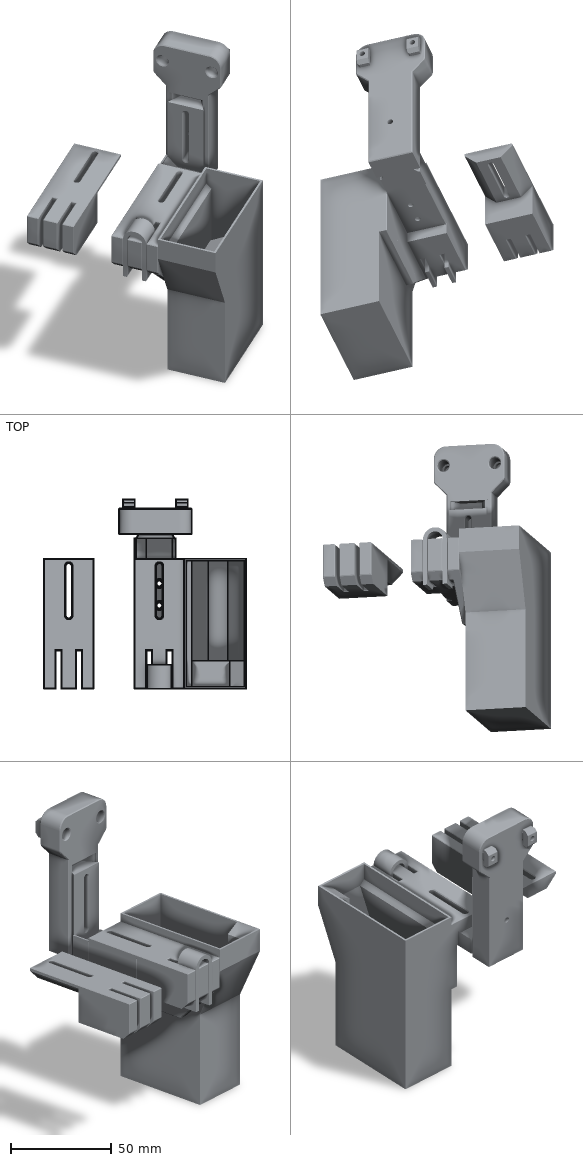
import cadquery as cq
import math

EDGE = 0.5
FORK_EDGE = 0.3

HOPPER_WIDTH = 30.9
DEPTH = 65.0
HOPPER_HEIGHT = 90.0
WALL = 1.0
RIM_BOTTOM = 78.0
NECK_TOP = 50.0
NECK_FRONT = 13.0
BASIN_FRONT = NECK_FRONT + WALL
LEDGE_INNER_X = 22.6
LEDGE_ANGLE = 30.0
LIP_RUN = 2.7
FLOOR_LEFT_X = 12.0
FLOOR_RIGHT_X = 21.6

FORK_WIDTH = 24.9
FORK_TOP = 85.6
FORK_PLATE = 1.8
FORK_BLOCK_DEPTH = 33.3
FORK_BOTTOM = 65.1
FORK_CHAMFER = 4.0
TONGUE_HEIGHT = 6.0
COMB_SLOT = 2.5
COMB_OFFSET = 5.1
COMB_DEPTH = 19.0
SLOT_WIDTH = 3.0
FORK_SLOT_START = 35.1
FORK_SLOT_END = 62.7
SPARE_FORK_X = -70.0
FORK_UNDERSIDE = FORK_TOP - FORK_PLATE
GROOVE_FLOOR = FORK_UNDERSIDE - TONGUE_HEIGHT

CLIP_RADIUS = 6.2
CLIP_THICKNESS = 2.1
CLIP_DEPTH = 12.0
CLIP_TOP = 91.4
CLIP_BOTTOM = 62.2

SIDE_PLATE = 4.2
SIDE_PLATE_BOTTOM = 46.4
SIDE_PLATE_CORNER_Y = 22.6
PILOT_DIAMETER = 1.0
PILOT_Y = (22.6, 48.5)
PILOT_Z = 53.5
BED_HOLE_DIAMETER = 2.8
COUNTERSINK_DIAMETER = 4.6
BED_HOLE_Y = (41.5, 52.5)

POST_X = -14.4
ARM_BOTTOM = 71.1
ARM_LIP = 0.9
ARM_FRONT = 75.0
ARM_TOP = 116.8
DOVETAIL_ANGLE = 60.0
DOVETAIL_HALF_WIDTH = 9.6
DOVETAIL_DEPTH = 7.4
ARM_SLOT_START = 81.9
ARM_SLOT_END = 113.4

POST_FRONT = 77.0
POST_BACK = 90.0
POST_HALF_WIDTH = 11.5
POST_TOP = 150.0
HEAD_HALF_WIDTH = 18.2
HEAD_SHOULDER = 125.1
HEAD_CORNER_RADIUS = 6.3
SHOULDER_RADIUS = 2.2
GROOVE_TOP = 121.5
STEM_HOLE_DIAMETER = 3.0
STEM_HOLE_Z = 94.5
BOLT_OFFSET = 13.2
BOLT_Z = 140.1
BOLT_HOLE_DIAMETER = 4.2
BOLT_HEAD_DIAMETER = 6.0
BOLT_SEAT = 3.0

NUT_Z = 139.8
NUT_NECK = 0.8
NUT_WIDTH = 6.0
NUT_NECK_RADIUS = 2.2
NUT_HEAD_RADIUS = 0.9
NUT_HALF_LENGTH = 5.1
NUT_BACK_HALF_LENGTH = 3.2
NUT_SHOULDER = 2.0
NUT_TIP = 94.5
NUT_THREAD_DIAMETER = 2.8


def profile_x(points, x_start, length):
    """Prism along +X from (y, z) points."""
    return cq.Workplane("YZ", origin=(x_start, 0, 0)).polyline(points).close().extrude(length)


def profile_y(points, y_start, y_end):
    """Prism along +Y from (x, z) points."""
    return cq.Workplane("XZ", origin=(0, y_start, 0)).polyline(points).close().extrude(y_start - y_end)


def profile_z(points, z_start, z_end):
    """Prism along +Z from (x, y) points."""
    return cq.Workplane("XY", origin=(0, 0, z_start)).polyline(points).close().extrude(z_end - z_start)


def block(x_range, y_range, z_range):
    """Box between three pairs of limits."""
    size = [high - low for low, high in (x_range, y_range, z_range)]
    corner = (x_range[0], y_range[0], z_range[0])
    return cq.Workplane("XY").box(*size, centered=False).translate(corner)


def make_hopper():
    outline = [
        (DEPTH, 0),
        (NECK_FRONT, 0),
        (NECK_FRONT, NECK_TOP),
        (0, RIM_BOTTOM),
        (0, HOPPER_HEIGHT),
        (DEPTH, HOPPER_HEIGHT),
    ]
    body = profile_x(outline, 0, HOPPER_WIDTH)

    left = WALL
    right = HOPPER_WIDTH - WALL
    lip_x = left + LIP_RUN
    lip = [(lip_x, RIM_BOTTOM), (left, RIM_BOTTOM + LIP_RUN), (left, HOPPER_HEIGHT)]
    basin = [
        (right, HOPPER_HEIGHT),
        (right, WALL + right - FLOOR_RIGHT_X),
        (FLOOR_RIGHT_X, WALL),
        (FLOOR_LEFT_X, WALL),
        (lip_x, WALL + FLOOR_LEFT_X - lip_x),
    ]
    body = body.cut(profile_y(lip + basin, BASIN_FRONT, DEPTH - WALL))

    chute = [
        (WALL, HOPPER_HEIGHT),
        (WALL, RIM_BOTTOM),
        (BASIN_FRONT, NECK_TOP),
        (BASIN_FRONT, HOPPER_HEIGHT),
    ]
    body = body.cut(profile_x(chute, lip_x, LEDGE_INNER_X - lip_x))
    body = body.cut(profile_y(lip + [(lip_x, HOPPER_HEIGHT)], WALL, BASIN_FRONT))
    ledge_drop = (right - LEDGE_INNER_X) * math.tan(math.radians(LEDGE_ANGLE))
    ledge = [
        (LEDGE_INNER_X, HOPPER_HEIGHT),
        (LEDGE_INNER_X, HOPPER_HEIGHT - ledge_drop),
        (right, HOPPER_HEIGHT),
    ]
    return body.cut(profile_y(ledge, WALL, BASIN_FRONT))


def tongue(centre):
    """Dovetail under a fork's plate, as wide as the fork at its top."""
    half = FORK_WIDTH / 2
    outline = [
        (centre - half, FORK_UNDERSIDE),
        (centre - half + TONGUE_HEIGHT, GROOVE_FLOOR),
        (centre + half - TONGUE_HEIGHT, GROOVE_FLOOR),
        (centre + half, FORK_UNDERSIDE),
    ]
    return profile_y(outline, FORK_BLOCK_DEPTH, DEPTH)


def make_fork(left):
    centre = left + FORK_WIDTH / 2
    outline = [
        (DEPTH, FORK_TOP),
        (0, FORK_TOP),
        (0, FORK_BOTTOM + FORK_CHAMFER),
        (FORK_CHAMFER, FORK_BOTTOM),
        (FORK_BLOCK_DEPTH, FORK_BOTTOM),
        (FORK_BLOCK_DEPTH, FORK_UNDERSIDE),
        (DEPTH, FORK_UNDERSIDE),
    ]
    body = profile_x(outline, left, FORK_WIDTH)

    for side in (-1, 1):
        slot_x = centre + side * COMB_OFFSET
        limits = (slot_x - COMB_SLOT / 2, slot_x + COMB_SLOT / 2)
        body = body.cut(block(limits, (0, COMB_DEPTH), (FORK_BOTTOM, FORK_TOP)))
    body = body.faces(">Z or <Y").edges().chamfer(FORK_EDGE)
    body = body.union(tongue(centre))

    slot = (
        cq.Workplane("XY", origin=(centre, (FORK_SLOT_START + FORK_SLOT_END) / 2, FORK_TOP))
        .slot2D(FORK_SLOT_END - FORK_SLOT_START, SLOT_WIDTH, 90)
        .extrude(-FORK_PLATE - TONGUE_HEIGHT)
    )
    body = body.cut(slot)
    rim = cq.selectors.BoxSelector(
        (centre - SLOT_WIDTH, FORK_SLOT_START - EDGE, FORK_TOP - EDGE),
        (centre + SLOT_WIDTH, FORK_SLOT_END + EDGE, FORK_TOP + EDGE),
    )
    return body.edges(rim).chamfer(EDGE)


def make_clip():
    centre = -FORK_WIDTH / 2
    arch_z = CLIP_TOP - CLIP_RADIUS

    def arch(radius):
        return (
            cq.Workplane("XZ")
            .moveTo(centre - radius, CLIP_BOTTOM)
            .lineTo(centre - radius, arch_z)
            .threePointArc((centre, arch_z + radius), (centre + radius, arch_z))
            .lineTo(centre + radius, CLIP_BOTTOM)
            .close()
            .extrude(-CLIP_DEPTH)
        )

    return arch(CLIP_RADIUS).cut(arch(CLIP_RADIUS - CLIP_THICKNESS))


def make_bracket():
    slope_top_y = SIDE_PLATE_CORNER_Y - (FORK_BOTTOM - SIDE_PLATE_BOTTOM)
    outline = [
        (DEPTH, SIDE_PLATE_BOTTOM),
        (SIDE_PLATE_CORNER_Y, SIDE_PLATE_BOTTOM),
        (slope_top_y, FORK_BOTTOM),
        (FORK_BLOCK_DEPTH, FORK_BOTTOM),
        (FORK_BLOCK_DEPTH, ARM_BOTTOM),
        (DEPTH, ARM_BOTTOM),
    ]
    plate = profile_x(outline, -SIDE_PLATE, SIDE_PLATE)
    outer_rim = cq.selectors.BoxSelector(
        (-SIDE_PLATE - EDGE, 0, SIDE_PLATE_BOTTOM - EDGE),
        (-SIDE_PLATE + EDGE, DEPTH + EDGE, FORK_BOTTOM - EDGE),
    )
    plate = plate.edges(outer_rim).chamfer(EDGE)
    pilots = (
        cq.Workplane("YZ", origin=(-SIDE_PLATE, 0, 0))
        .pushPoints([(y, PILOT_Z) for y in PILOT_Y])
        .circle(PILOT_DIAMETER / 2)
        .extrude(SIDE_PLATE)
    )

    bed = block((-FORK_WIDTH, 0), (FORK_BLOCK_DEPTH, DEPTH), (ARM_BOTTOM, FORK_UNDERSIDE))
    bed = bed.faces("<X").edges("not(>Z)").chamfer(EDGE)
    bed = bed.cut(tongue(-FORK_WIDTH / 2))
    for y in BED_HOLE_Y:
        top = cq.Workplane("XY", origin=(-FORK_WIDTH / 2, y, GROOVE_FLOOR))
        hole = top.circle(BED_HOLE_DIAMETER / 2).extrude(ARM_BOTTOM - GROOVE_FLOOR)
        countersink_depth = (COUNTERSINK_DIAMETER - BED_HOLE_DIAMETER) / 2
        countersink = top.circle(COUNTERSINK_DIAMETER / 2).extrude(-countersink_depth, taper=45)
        bed = bed.cut(hole).cut(countersink)
    return bed.union(plate.cut(pilots))


def dovetail(z_start, z_end):
    """Upright dovetail, wide at the front and narrowing toward the post."""
    taper = DOVETAIL_DEPTH / math.tan(math.radians(DOVETAIL_ANGLE))
    back_half = DOVETAIL_HALF_WIDTH - taper
    back = ARM_FRONT + DOVETAIL_DEPTH
    outline = [
        (POST_X - DOVETAIL_HALF_WIDTH, ARM_FRONT),
        (POST_X + DOVETAIL_HALF_WIDTH, ARM_FRONT),
        (POST_X + back_half, back),
        (POST_X - back_half, back),
    ]
    return profile_z(outline, z_start, z_end)


def make_arm():
    outline = [
        (-FORK_WIDTH, ARM_BOTTOM),
        (-SIDE_PLATE, ARM_BOTTOM),
        (-SIDE_PLATE, FORK_UNDERSIDE - SIDE_PLATE),
        (-TONGUE_HEIGHT, GROOVE_FLOOR),
        (TONGUE_HEIGHT - FORK_WIDTH, GROOVE_FLOOR),
        (ARM_LIP - FORK_WIDTH, FORK_UNDERSIDE - ARM_LIP),
        (ARM_LIP - FORK_WIDTH, FORK_UNDERSIDE),
        (-FORK_WIDTH, FORK_UNDERSIDE),
    ]
    bar = profile_y(outline, DEPTH, ARM_FRONT)

    slot = (
        cq.Workplane("XZ", origin=(POST_X, ARM_FRONT, (ARM_SLOT_START + ARM_SLOT_END) / 2))
        .slot2D(ARM_SLOT_END - ARM_SLOT_START, SLOT_WIDTH, 90)
        .extrude(-DOVETAIL_DEPTH)
    )
    upright = dovetail(ARM_BOTTOM, ARM_TOP).cut(slot)
    upright = upright.faces("<Y").edges("%CIRCLE").chamfer(EDGE)
    return bar.union(upright)


def make_post():
    head_side_z = HEAD_SHOULDER + HEAD_HALF_WIDTH - POST_HALF_WIDTH
    right_half = [
        (POST_HALF_WIDTH, ARM_BOTTOM),
        (POST_HALF_WIDTH, HEAD_SHOULDER),
        (HEAD_HALF_WIDTH, head_side_z),
        (HEAD_HALF_WIDTH, POST_TOP),
    ]
    outline = [(POST_X + x, z) for x, z in right_half]
    outline += [(POST_X - x, z) for x, z in reversed(right_half)]
    body = profile_y(outline, POST_FRONT, POST_BACK)

    def head_edges(z):
        lower = (POST_X - HEAD_HALF_WIDTH - EDGE, POST_FRONT, z - EDGE)
        upper = (POST_X + HEAD_HALF_WIDTH + EDGE, POST_BACK, z + EDGE)
        return cq.selectors.BoxSelector(lower, upper)

    body = body.edges("|Y").edges(head_edges(POST_TOP)).fillet(HEAD_CORNER_RADIUS)
    body = body.edges("|Y").edges(head_edges(head_side_z)).fillet(SHOULDER_RADIUS)
    body = body.faces("<Y or >Y").edges().chamfer(EDGE)
    body = body.cut(dovetail(ARM_BOTTOM, GROOVE_TOP))
    groove_mouth = block(
        (POST_X - DOVETAIL_HALF_WIDTH, POST_X + DOVETAIL_HALF_WIDTH),
        (POST_FRONT, POST_FRONT + EDGE),
        (ARM_BOTTOM, GROOVE_TOP),
    )
    body = body.cut(groove_mouth)

    stem_hole = (
        cq.Workplane("XZ", origin=(POST_X, POST_FRONT, STEM_HOLE_Z))
        .circle(STEM_HOLE_DIAMETER / 2)
        .extrude(POST_FRONT - POST_BACK)
    )
    groove_floor = cq.selectors.BoxSelector(
        (POST_X - POST_HALF_WIDTH, POST_FRONT, STEM_HOLE_Z - STEM_HOLE_DIAMETER),
        (POST_X + POST_HALF_WIDTH, POST_BACK - EDGE, STEM_HOLE_Z + STEM_HOLE_DIAMETER),
    )
    body = body.cut(stem_hole).edges("%CIRCLE").edges(groove_floor).chamfer(EDGE)

    for side in (-1, 1):
        front = cq.Workplane("XZ", origin=(POST_X + side * BOLT_OFFSET, POST_FRONT, BOLT_Z))
        through = front.circle(BOLT_HOLE_DIAMETER / 2).extrude(POST_FRONT - POST_BACK)
        seat = front.circle(BOLT_HEAD_DIAMETER / 2).extrude(POST_FRONT - POST_BACK + BOLT_SEAT)
        mouth = front.circle(BOLT_HEAD_DIAMETER / 2 + EDGE).extrude(-EDGE, taper=45)
        body = body.cut(through).cut(seat).cut(mouth)
    return body


def turning_block(x, z, half_length, radius, y_start, y_end):
    """Block along +Y with its upper left and lower right corners rounded, so that it can turn."""
    half = NUT_WIDTH / 2
    body = block((x - half, x + half), (y_start, y_end), (z - half_length, z + half_length))
    for corner in ("<X and >Z", ">X and <Z"):
        body = body.edges("|Y").edges(corner).fillet(radius)
    return body


def make_nut(x):
    head_front = POST_BACK + NUT_NECK
    outline = [
        (head_front, NUT_Z - NUT_HALF_LENGTH),
        (head_front + NUT_SHOULDER, NUT_Z - NUT_HALF_LENGTH),
        (NUT_TIP, NUT_Z - NUT_BACK_HALF_LENGTH),
        (NUT_TIP, NUT_Z + NUT_BACK_HALF_LENGTH),
        (head_front + NUT_SHOULDER, NUT_Z + NUT_HALF_LENGTH),
        (head_front, NUT_Z + NUT_HALF_LENGTH),
    ]
    head = profile_x(outline, x - NUT_WIDTH / 2, NUT_WIDTH)
    head = head.intersect(
        turning_block(x, NUT_Z, NUT_HALF_LENGTH, NUT_HEAD_RADIUS, head_front, NUT_TIP)
    )
    neck = turning_block(x, BOLT_Z, NUT_WIDTH / 2, NUT_NECK_RADIUS, POST_BACK, head_front)
    thread = (
        cq.Workplane("XZ", origin=(x, POST_BACK, BOLT_Z))
        .circle(NUT_THREAD_DIAMETER / 2)
        .extrude(POST_BACK - NUT_TIP)
    )
    return head.union(neck).cut(thread)


hopper = make_hopper()
forks = [make_fork(left) for left in (-FORK_WIDTH, SPARE_FORK_X)]
clip = make_clip()
bracket = make_bracket()
arm = make_arm()
post = make_post()
nuts = [make_nut(POST_X + side * BOLT_OFFSET) for side in (-1, 1)]

single_bodies = [hopper, clip, bracket, arm, post]
result = cq.Compound.makeCompound([body.val() for body in single_bodies + forks + nuts])